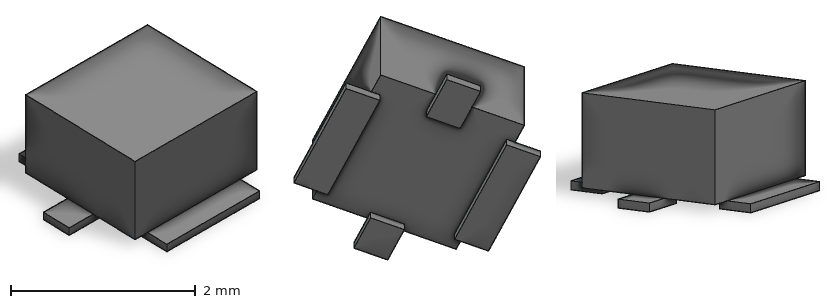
import cadquery as cq

span_x = 2.3
span_y = 2.5

housing_width = 1.7
housing_back_overhang = 0.3
housing_front_overhang = 0.362
housing_height = 1.05

lead_thickness = 0.1
lead_width = 0.4
side_lead_length = 1.4
front_lead_length = 0.45
back_lead_length = (span_y - side_lead_length) / 2


def block(size_x, size_y, height, center_x, center_y, base_z):
    """Rectangular block standing on base_z."""
    return (
        cq.Workplane("XY", origin=(center_x, center_y, base_z))
        .rect(size_x, size_y)
        .extrude(height)
    )


def make_housing():
    """Block resting on top of the leads."""
    depth = span_y - housing_back_overhang - housing_front_overhang
    center_y = (housing_front_overhang - housing_back_overhang) / 2
    return block(housing_width, depth, housing_height, 0, center_y, lead_thickness)


def make_side_lead(side):
    """Long lead along the -X (side = -1) or +X (side = 1) edge."""
    center_x = side * (span_x - lead_width) / 2
    return block(lead_width, side_lead_length, lead_thickness, center_x, 0, 0)


def make_end_lead(side, length):
    """Narrow lead at the -Y (side = -1) or +Y (side = 1) end."""
    center_y = side * (span_y - length) / 2
    return block(lead_width, length, lead_thickness, 0, center_y, 0)


housing = make_housing()
side_leads = [make_side_lead(side) for side in (-1, 1)]
end_leads = [
    make_end_lead(side, length)
    for side, length in ((-1, front_lead_length), (1, back_lead_length))
]

result = cq.Compound.makeCompound(
    [housing.val(), *[lead.val() for lead in side_leads + end_leads]]
)